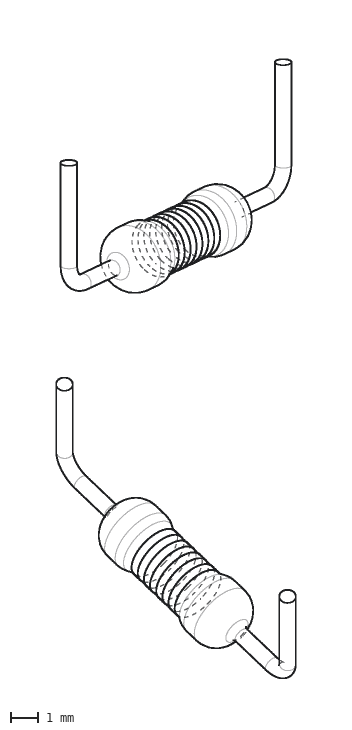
import cadquery as cq
import math


lead_diameter = 0.6
lead_pitch = 12.5
lead_tip_height = 4.85
lead_bend_radius = 0.9

cap_diameter = 2.5
waist_diameter = 2.12
cap_outer_edge = 2.51
cap_inner_edge = 1.92
cap_round_radius = 0.9
lead_fillet_radius = 0.265

band_diameter = 2.15
band_count = 4
band_width = 0.345
band_pitch = 2 * band_width

lead_radius = lead_diameter / 2
cap_radius = cap_diameter / 2
waist_radius = waist_diameter / 2
band_radius = band_diameter / 2
waist_half_length = (band_pitch * (band_count - 1) + band_width) / 2


def circle_point(center, radius, angle):
    """Point on a circle at an angle from the radial direction, as (radial, axial)."""
    return (center[0] + radius * math.cos(angle), center[1] + radius * math.sin(angle))


def make_cap():
    """The turned +Y end of the body, from the end of the waist to the lead fillet."""
    round_center = (cap_radius - cap_round_radius, cap_outer_edge)
    fillet_center_radial = lead_radius + lead_fillet_radius
    center_distance = cap_round_radius + lead_fillet_radius
    meeting_angle = math.acos((fillet_center_radial - round_center[0]) / center_distance)
    fillet_center = circle_point(round_center, center_distance, meeting_angle)
    round_middle = circle_point(round_center, cap_round_radius, meeting_angle / 2)
    meeting_point = circle_point(round_center, cap_round_radius, meeting_angle)
    fillet_middle = circle_point(fillet_center, lead_fillet_radius, math.pi + meeting_angle / 2)
    fillet_end = (lead_radius, fillet_center[1])

    taper_start = (cap_radius, cap_inner_edge)
    taper_end = (waist_radius, waist_half_length)
    taper_middle = (
        (taper_start[0] + taper_end[0]) / 2,
        (taper_start[1] + taper_end[1]) / 2,
    )

    return (
        cq.Workplane("XY")
        .moveTo(0, fillet_end[1])
        .lineTo(*fillet_end)
        .threePointArc(fillet_middle, meeting_point)
        .threePointArc(round_middle, (cap_radius, cap_outer_edge))
        .lineTo(*taper_start)
        .tangentArcPoint(taper_middle, relative=False)
        .tangentArcPoint(taper_end, relative=False)
        .lineTo(0, waist_half_length)
        .close()
        .revolve(360, (0, 0, 0), (0, 1, 0))
    )


def make_cylinder(radius, start, length):
    """A cylinder on the body axis, reaching from start towards +Y."""
    return cq.Workplane("XZ", origin=(0, start, 0)).circle(radius).extrude(-length)


def make_lead():
    """The +Y lead, from the end of the waist out, around its bend and up to its tip."""
    lead_y = lead_pitch / 2
    path = (
        cq.Workplane("YZ")
        .moveTo(waist_half_length, 0)
        .lineTo(lead_y - lead_bend_radius, 0)
        .tangentArcPoint((lead_y, lead_bend_radius), relative=False)
        .lineTo(lead_y, lead_tip_height)
    )
    section = cq.Workplane("XZ", origin=(0, waist_half_length, 0)).circle(lead_radius)
    return section.sweep(path)


end = make_cap().union(make_lead())
waist = make_cylinder(waist_radius, -waist_half_length, 2 * waist_half_length)
result = waist.union(end).union(end.mirror("XZ"))

for band_index in range(band_count):
    band_start = band_index * band_pitch - waist_half_length
    result = result.union(make_cylinder(band_radius, band_start, band_width))